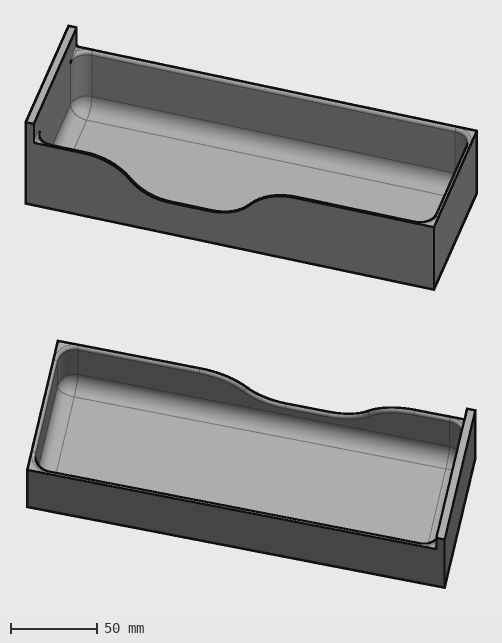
import cadquery as cq
import math

LENGTH = 247.5
WIDTH = 85.0
PANEL_HEIGHT = 65.0
PANEL_THICKNESS = 5.0
TRAY_HEIGHT = 50.0
WALL = 2.5
FLOOR = 5.0
CAVITY_RADIUS = 10.0
RIM_RADIUS = 2.2
PANEL_FOOT_RADIUS = 1.2

SCALLOP_CENTER_X = 99.5
SCALLOP_FLAT = 25.0
SCALLOP_DEPTH = 25.0
SHOULDER_RADIUS = 35.0
BOTTOM_RADIUS = 30.0


def make_cavity():
    """Pocket with rounded upright corners and a rounded floor edge."""
    cavity_length = LENGTH - PANEL_THICKNESS - WALL
    cavity_width = WIDTH - 2 * WALL
    return (
        cq.Workplane("XY")
        .box(cavity_length, cavity_width, TRAY_HEIGHT - FLOOR, centered=False)
        .edges("|Z or <Z")
        .fillet(CAVITY_RADIUS)
        .translate((PANEL_THICKNESS, WALL, FLOOR))
    )


def make_scallop():
    """S-curved cut: each flank is a convex shoulder arc tangent to a concave bottom arc."""
    flank_angle = math.acos(1 - SCALLOP_DEPTH / (SHOULDER_RADIUS + BOTTOM_RADIUS))

    def arc_offset(radius, angle):
        return radius * math.sin(angle), radius * (1 - math.cos(angle))

    shoulder_run, shoulder_drop = arc_offset(SHOULDER_RADIUS, flank_angle)
    shoulder_mid_run, shoulder_mid_drop = arc_offset(SHOULDER_RADIUS, flank_angle / 2)
    bottom_run, _ = arc_offset(BOTTOM_RADIUS, flank_angle)
    bottom_mid_run, bottom_mid_rise = arc_offset(BOTTOM_RADIUS, flank_angle / 2)

    half_flat = SCALLOP_FLAT / 2
    half_bend = half_flat + bottom_run
    half_top = half_bend + shoulder_run
    bottom_z = TRAY_HEIGHT - SCALLOP_DEPTH
    bend_z = TRAY_HEIGHT - shoulder_drop
    shoulder_mid_z = TRAY_HEIGHT - shoulder_mid_drop
    bottom_mid_z = bottom_z + bottom_mid_rise

    def at(offset, z):
        return SCALLOP_CENTER_X + offset, z

    return (
        cq.Workplane("XZ")
        .moveTo(*at(-half_top, TRAY_HEIGHT))
        .threePointArc(at(shoulder_mid_run - half_top, shoulder_mid_z), at(-half_bend, bend_z))
        .threePointArc(at(-half_flat - bottom_mid_run, bottom_mid_z), at(-half_flat, bottom_z))
        .lineTo(*at(half_flat, bottom_z))
        .threePointArc(at(half_flat + bottom_mid_run, bottom_mid_z), at(half_bend, bend_z))
        .threePointArc(at(half_top - shoulder_mid_run, shoulder_mid_z), at(half_top, TRAY_HEIGHT))
        .close()
        .extrude(-2 * WALL)
    )


def make_tray():
    """Open tray with its inner rim rounded all the way around, including the scallop."""
    tray = cq.Workplane("XY").box(LENGTH, WIDTH, TRAY_HEIGHT, centered=False)
    tray = tray.cut(make_cavity()).cut(make_scallop())
    back_rim_point = (LENGTH / 2, WIDTH - WALL, TRAY_HEIGHT)
    return tray.edges(cq.NearestToPointSelector(back_rim_point)).fillet(RIM_RADIUS)


def add_panel(tray):
    """End panel that closes the rim on its own side, with a small fillet where it meets the rim."""
    panel = cq.Workplane("XY").box(PANEL_THICKNESS, WIDTH, PANEL_HEIGHT, centered=False)
    drawer = tray.union(panel)
    for rim_end_y in (0, WIDTH):
        panel_foot = (PANEL_THICKNESS, rim_end_y, TRAY_HEIGHT)
        rim_joint = drawer.edges("|Y").edges(cq.NearestToPointSelector(panel_foot))
        drawer = rim_joint.fillet(PANEL_FOOT_RADIUS)
    return drawer


result = add_panel(make_tray())